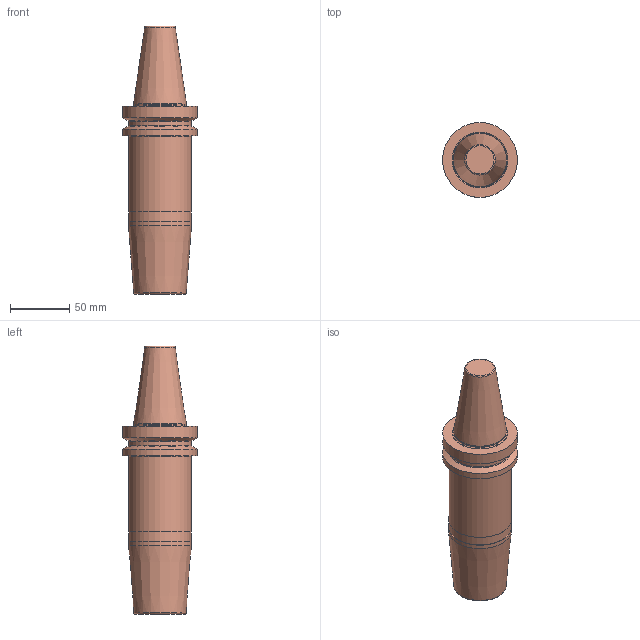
import cadquery as cq
import math


gauge_radius = 44.45 / 2
taper_per_length = 7 / 24
shank_length = 65.4
shank_end_fillet = 1.0

neck_radius = 21.9
neck_relief_height = 0.5
neck_fillet = 0.9

flange_radius = 63 / 2
flange_top = -2.0
flange_bottom = -27.0
undercut_radius = 23.5
undercut_depth = 0.3
groove_center = -16.6
groove_root_radius = 53 / 2
groove_root_width = 4.3
groove_half_angle = 30
groove_root_fillet = 0.8

body_radius = 53 / 2
body_fillet = 0.8
band_radius = 52.4 / 2
band_top = -91.0
band_bottom = -99.0

nose_top = -102.4
nose_bottom = -160.0
nose_half_angle = 4.5
nose_end_fillet = 1.0

undercut_floor = flange_top - undercut_depth
undercut_floor_radius = neck_radius + neck_fillet


def outline_start(height):
    """Start a radius-height outline on the Z axis."""
    return cq.Workplane("XZ").moveTo(0, height)


def turned(outline):
    """Close a radius-height outline and revolve it around the Z axis."""
    return outline.close().revolve(360, (0, 0), (0, 1))


def mid_arc_inset(radius):
    """Distance from either leg of a right-angled fillet to the middle of its arc."""
    return radius * (1 - math.cos(math.radians(45)))


def make_shank():
    end_radius = gauge_radius - shank_length * taper_per_length / 2
    outline = (
        outline_start(0)
        .lineTo(gauge_radius, 0)
        .lineTo(end_radius, shank_length)
        .lineTo(0, shank_length)
    )
    return turned(outline).faces(">Z").edges().fillet(shank_end_fillet)


def make_neck():
    inset = mid_arc_inset(neck_fillet)
    outline = (
        outline_start(undercut_floor)
        .lineTo(undercut_floor_radius, undercut_floor)
        .threePointArc(
            (neck_radius + inset, undercut_floor + inset),
            (neck_radius, undercut_floor + neck_fillet),
        )
        .lineTo(neck_radius, -neck_relief_height)
        .lineTo(gauge_radius, 0)
        .lineTo(0, 0)
    )
    return turned(outline)


def make_flange():
    outline = (
        outline_start(undercut_floor)
        .lineTo(undercut_floor_radius, undercut_floor)
        .lineTo(undercut_radius, flange_top)
        .lineTo(flange_radius, flange_top)
        .lineTo(flange_radius, flange_bottom)
        .lineTo(0, flange_bottom)
    )
    return turned(outline).cut(make_groove())


def make_groove():
    """Ring-shaped cutter with sloping walls and a rounded root."""
    groove_depth = flange_radius - groove_root_radius
    wall_rise = groove_depth * math.tan(math.radians(groove_half_angle))
    root_top = groove_center + groove_root_width / 2
    root_bottom = groove_center - groove_root_width / 2
    outline = (
        cq.Workplane("XZ")
        .moveTo(groove_root_radius, root_bottom)
        .lineTo(groove_root_radius, root_top)
        .lineTo(flange_radius, root_top + wall_rise)
        .lineTo(flange_radius, root_bottom - wall_rise)
    )
    root_edges = cq.selectors.RadiusNthSelector(0)
    return turned(outline).edges("%CIRCLE").edges(root_edges).fillet(groove_root_fillet)


def make_body():
    inset = mid_arc_inset(body_fillet)
    nose_length = nose_top - nose_bottom
    nose_end_radius = body_radius - nose_length * math.tan(math.radians(nose_half_angle))
    outline = (
        outline_start(flange_bottom)
        .lineTo(body_radius + body_fillet, flange_bottom)
        .threePointArc(
            (body_radius + inset, flange_bottom - inset),
            (body_radius, flange_bottom - body_fillet),
        )
        .lineTo(body_radius, band_top)
        .lineTo(band_radius, band_top)
        .lineTo(band_radius, band_bottom)
        .lineTo(body_radius, band_bottom)
        .lineTo(body_radius, nose_top)
        .lineTo(nose_end_radius, nose_bottom)
        .lineTo(0, nose_bottom)
    )
    return turned(outline).faces("<Z").edges().fillet(nose_end_fillet)


result = make_shank().union(make_neck()).union(make_flange()).union(make_body())